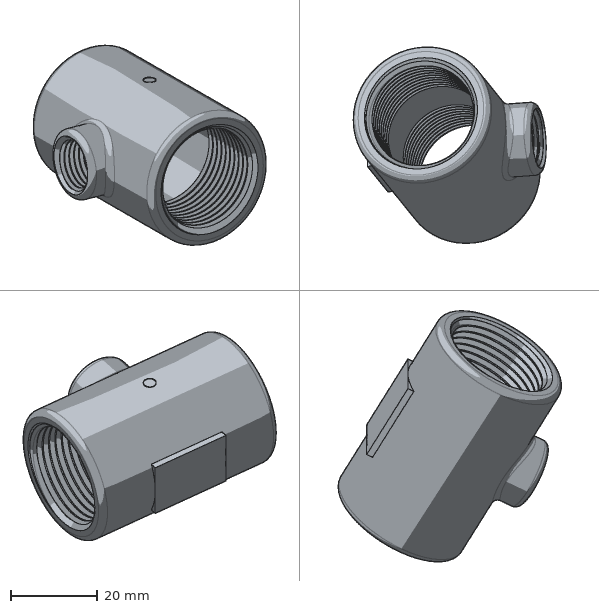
import cadquery as cq
import math

tube_length = 50
tube_radius = 16.5
bore_radius = 12.05
mouth_radius = 13.5
edge_radius = 1.5

outlet_reach = 22
outlet_radius = 8.5
outlet_bore_radius = 5.7
outlet_mouth_radius = 7
root_fillet = 1.5

pad_length = 20
pad_height = 14

dimple_radius = 1.5
dimple_depth = 0.2

flank_half_angle = 27.5
groove_share = 0.8
groove_overlap = 0.1
tube_pitch = 1.8
tube_turns = 10
outlet_pitch = 1.35
outlet_turns = 6
outlet_thread_start = 180

mouth_overrun = 0.5


def cylinder_along(plane, radius, start, length):
    """Cylinder on a principal plane, starting at an offset along its normal."""
    return cq.Workplane(plane).workplane(offset=start).circle(radius).extrude(length)


def thread_cutter(bore, pitch, turns):
    """Helical V groove that climbs along +Z from a start at Z = 0."""
    slope = 1 / math.tan(math.radians(flank_half_angle))
    half_width = pitch * groove_share / 2
    depth = half_width * slope
    inner_radius = bore - groove_overlap
    inner_half_width = half_width + groove_overlap / slope
    path = cq.Wire.makeHelix(pitch, pitch * turns, bore)
    profile = cq.Workplane("XZ").polyline(
        [
            (inner_radius, -inner_half_width),
            (bore + depth, 0),
            (inner_radius, inner_half_width),
        ]
    ).close()
    return profile.sweep(cq.Workplane(obj=path), isFrenet=True)


def mouth_cutter(bore, mouth):
    """45 degree cone that opens a bore at Z = 0 and narrows along +Z."""
    depth = mouth - bore
    return (
        cq.Workplane("XZ")
        .moveTo(0, -mouth_overrun)
        .lineTo(mouth + mouth_overrun, -mouth_overrun)
        .lineTo(bore, depth)
        .lineTo(0, depth)
        .close()
        .revolve(360, (0, 0, 0), (0, 1, 0))
    )


def tube_end(cutter):
    """Move a cutter made along +Z to the -X face, pointing along +X."""
    return cutter.rotate((0, 0, 0), (0, 1, 0), 90).translate((-tube_length / 2, 0, 0))


def outlet_end(cutter):
    """Move a cutter made along +Z to the outlet face, pointing along +Y."""
    return cutter.rotate((0, 0, 0), (1, 0, 0), -90).translate((0, -outlet_reach, 0))


body = cylinder_along("YZ", tube_radius, -tube_length / 2, tube_length)
body = body.faces("<X or >X").edges().fillet(edge_radius)
outlet = cylinder_along("XZ", outlet_radius, 0, outlet_reach)
outlet = outlet.faces("<Y").edges().fillet(edge_radius)
body = body.union(outlet)
root_box = cq.selectors.BoxSelector(
    (-outlet_radius - 0.5, -tube_radius - 0.5, -outlet_radius - 0.5),
    (outlet_radius + 0.5, -tube_radius / 2, outlet_radius + 0.5),
    boundingbox=True,
)
body = body.edges(root_box).fillet(root_fillet)
pad = cq.Workplane("XY").box(pad_length, tube_radius, pad_height).translate((0, tube_radius / 2, 0))
body = body.union(pad)
body = body.cut(cylinder_along("XY", dimple_radius, tube_radius - dimple_depth, tube_radius))

body = body.cut(cylinder_along("YZ", bore_radius, -tube_length / 2, tube_length))
body = body.cut(cylinder_along("XZ", outlet_bore_radius, 0, outlet_reach))

tube_thread = tube_end(thread_cutter(bore_radius, tube_pitch, tube_turns))
tube_mouth = tube_end(mouth_cutter(bore_radius, mouth_radius))
for turn in (0, 180):
    body = body.cut(tube_thread.rotate((0, 0, 0), (0, 0, 1), turn))
    body = body.cut(tube_mouth.rotate((0, 0, 0), (0, 0, 1), turn))
outlet_thread = thread_cutter(outlet_bore_radius, outlet_pitch, outlet_turns)
outlet_thread = outlet_thread.rotate((0, 0, 0), (0, 0, 1), outlet_thread_start)
body = body.cut(outlet_end(outlet_thread))
body = body.cut(outlet_end(mouth_cutter(outlet_bore_radius, outlet_mouth_radius)))

result = body